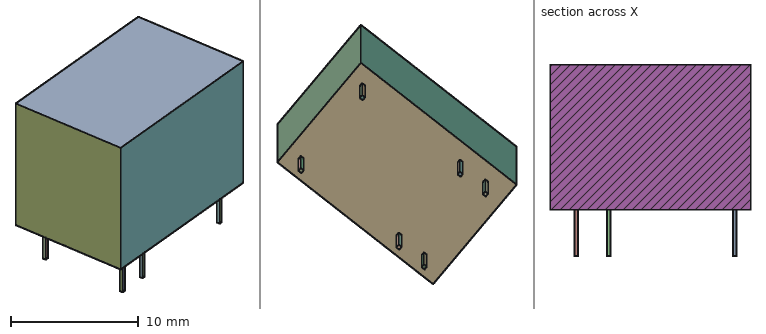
import cadquery as cq

body_width = 10.4
body_length = 15.7
total_height = 15.0
pin_length = 3.61
body_height = total_height - pin_length

pin_side = 0.3
row_spacing = 7.61
left_row_x = -3.83
pin_rows_x = (left_row_x, left_row_x + row_spacing)
front_pin_y = -5.81
pin_pitch = 2.55
rear_pin_y = 6.6
pin_places_y = (front_pin_y, front_pin_y + pin_pitch, rear_pin_y)

body = cq.Workplane("XY").box(body_width, body_length, body_height, centered=(True, True, False))

pin_centers = [(x, y) for x in pin_rows_x for y in pin_places_y]
pins = cq.Workplane("XY").pushPoints(pin_centers).rect(pin_side, pin_side).extrude(-pin_length)

result = body.union(pins)